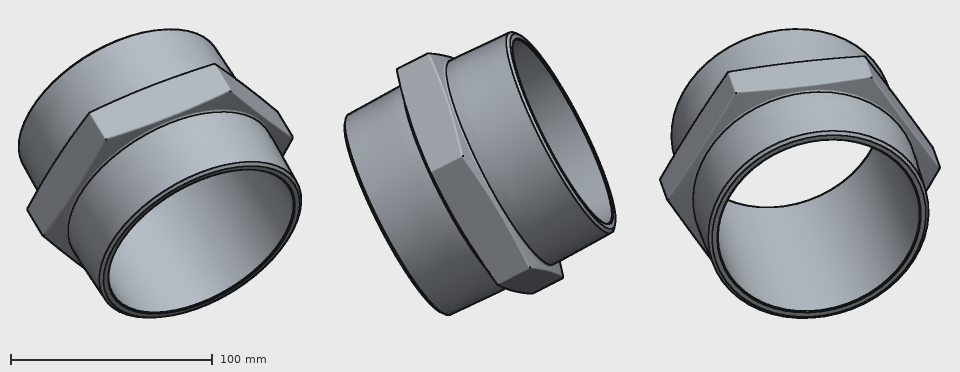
import cadquery as cq
import math

length = 94.0
bore_diameter = 102.0
bore_rim_chamfer = 0.5
body_diameter = 113.4
body_half_length = 17.5
taper = 1 / 16
end_chamfer_length = 1.4
end_chamfer_height = 1.7

across_flats = 120.0
hex_root_half_width = 11.3
hex_side_angle = 9.5
hex_edge_radius = 1.0
root_fillet_radius = 1.0

half_length = length / 2
body_radius = body_diameter / 2
across_corners = across_flats / math.cos(math.radians(30))


def make_body():
    """Solid of revolution: straight middle, tapered ends and chamfered rims."""
    chamfer_start = half_length - end_chamfer_length
    taper_end_radius = body_radius - (chamfer_start - body_half_length) * taper / 2
    rim_radius = taper_end_radius - end_chamfer_height
    profile = (
        cq.Workplane("XZ")
        .moveTo(-half_length, 0)
        .lineTo(-half_length, rim_radius)
        .lineTo(-chamfer_start, taper_end_radius)
        .lineTo(-body_half_length, body_radius)
        .lineTo(body_half_length, body_radius)
        .lineTo(chamfer_start, taper_end_radius)
        .lineTo(half_length, rim_radius)
        .lineTo(half_length, 0)
        .close()
    )
    return profile.revolve(360, (0, 0, 0), (1, 0, 0))


def make_collar():
    """Hexagonal collar with conical sides and all outer edges rounded."""
    prism = (
        cq.Workplane("YZ")
        .polygon(6, across_corners)
        .extrude(hex_root_half_width, both=True)
        .edges("|X")
        .fillet(hex_edge_radius)
    )
    cone_rim_radius = across_corners / 2
    side_slope = math.tan(math.radians(hex_side_angle))
    cone_rim_half_width = hex_root_half_width - (cone_rim_radius - body_radius) * side_slope
    double_cone = (
        cq.Workplane("XZ")
        .moveTo(-hex_root_half_width, 0)
        .lineTo(-hex_root_half_width, body_radius)
        .lineTo(-cone_rim_half_width, cone_rim_radius)
        .lineTo(cone_rim_half_width, cone_rim_radius)
        .lineTo(hex_root_half_width, body_radius)
        .lineTo(hex_root_half_width, 0)
        .close()
        .revolve(360, (0, 0, 0), (1, 0, 0))
    )
    collar = prism.intersect(double_cone)
    return collar.faces("%CONE").edges("not %CIRCLE").fillet(hex_edge_radius)


def round_collar_roots(nipple):
    """Fillet the two circles where the collar sides meet the body."""
    roots = nipple.edges("%CIRCLE").edges(
        cq.selectors.BoxSelector(
            (-hex_root_half_width - root_fillet_radius, -across_corners, -across_corners),
            (hex_root_half_width + root_fillet_radius, across_corners, across_corners),
        )
    )
    return roots.fillet(root_fillet_radius)


def cut_bore(nipple):
    """Plain through hole with both rims slightly chamfered."""
    bored = nipple.faces("<X").workplane(centerOption="CenterOfMass").hole(bore_diameter)
    rims = bored.faces("<X or >X").edges(cq.selectors.RadiusNthSelector(0))
    return rims.chamfer(bore_rim_chamfer)


nipple = make_body().union(make_collar())
result = cut_bore(round_collar_roots(nipple))